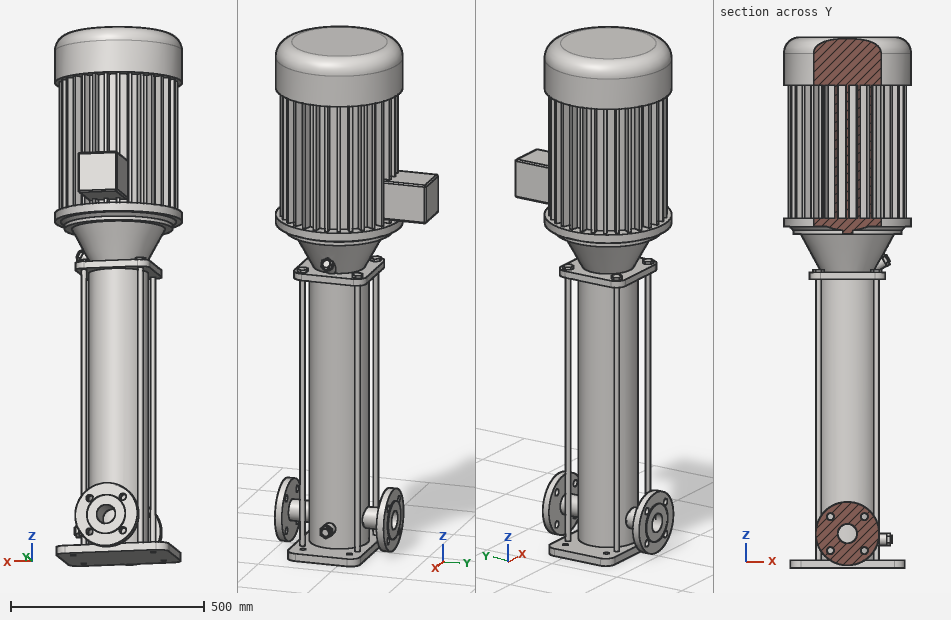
import cadquery as cq
import math

total_height = 1375.0

base_length = 297.0
base_width = 197.0
base_thickness = 20.0
base_hole_diameter = 14.0
base_hole_pitch_x = 212.0
base_hole_pitch_y = 126.0
plate_corner_radius = 28.0

barrel_diameter = 155.0
head_plate_bottom = 748.0
head_plate_thickness = 18.0
head_plate_top = head_plate_bottom + head_plate_thickness
rod_diameter = 14.0
rod_pitch = 150.0
nut_width_across_corners = 29.0
nut_height = 7.0

port_height = 90.0
port_reach = 151.0
port_neck_diameter = 56.0
port_bore_diameter = 50.0
port_flange_diameter = 165.0
port_flange_thickness = 19.0
raised_face_diameter = 102.0
raised_face_height = 3.0
flange_hole_diameter = 18.0
flange_hole_pitch = 88.0

plug_diameter = 32.0
plug_head_width = 29.0
plug_head_length = 10.0
plug_nub_diameter = 20.0
plug_nub_length = 4.0
plug_length = 55.0
drain_plug_tip_x = 115.0
drain_plug_height = 74.0
vent_plug_tip_x = 106.0
vent_plug_tip_height = 803.0
vent_plug_tilt = 30.0

lantern_bottom_radius = 67.0
lantern_top_radius = 121.0
lantern_top = 865.0
spigot_diameter = 280.0
spigot_rim_height = 10.0
spigot_shoulder_radius = 150.0
motor_flange_bottom = 884.0
motor_flange_thickness = 22.0
motor_flange_top = motor_flange_bottom + motor_flange_thickness

motor_diameter = 330.0
motor_core_diameter = 264.0
fin_tip_diameter = 307.0
fin_count = 30
fin_thickness = 8.0
fan_cover_bottom = 1250.0
fan_cover_rounding = 41.0

box_width = 105.0
box_bottom = 920.0
box_top = 1025.0
box_outer_y = 255.0
box_edge_chamfer = 4.0


def cylinder(diameter, bottom, top):
    """Vertical cylinder on the pump axis."""
    return cq.Workplane("XY").workplane(offset=bottom).circle(diameter / 2).extrude(top - bottom)


def rounded_plate(length, width, bottom, thickness):
    """Horizontal plate with rounded corners."""
    plate = cq.Workplane("XY").workplane(offset=bottom).rect(length, width).extrude(thickness)
    return plate.edges("|Z").fillet(plate_corner_radius)


def make_base():
    base = rounded_plate(base_length, base_width, 0, base_thickness)
    holes = (
        cq.Workplane("XY")
        .rect(base_hole_pitch_x, base_hole_pitch_y, forConstruction=True)
        .vertices()
        .circle(base_hole_diameter / 2)
        .extrude(base_thickness)
    )
    return base.cut(holes)


def make_head_plate():
    return rounded_plate(base_width, base_width, head_plate_bottom, head_plate_thickness)


def make_tie_rods():
    """Four rods from the base to the head plate, each with a hexagon nut on top."""
    rods = (
        cq.Workplane("XY")
        .workplane(offset=base_thickness / 2)
        .rect(rod_pitch, rod_pitch, forConstruction=True)
        .vertices()
        .circle(rod_diameter / 2)
        .extrude(head_plate_top - base_thickness / 2)
    )
    nuts = (
        cq.Workplane("XY")
        .workplane(offset=head_plate_top)
        .rect(rod_pitch, rod_pitch, forConstruction=True)
        .vertices()
        .polygon(6, nut_width_across_corners)
        .extrude(nut_height)
    )
    return rods.union(nuts)


def make_port():
    """Flanged port pointing toward -Y, starting from the pump axis."""
    def disc(diameter, start, end):
        face = cq.Workplane("XZ", origin=(0, -start, port_height))
        return face.circle(diameter / 2).extrude(end - start)

    flange_front = port_reach - raised_face_height
    flange_back = flange_front - port_flange_thickness
    bolt_holes = (
        cq.Workplane("XZ", origin=(0, -flange_back, port_height))
        .rect(flange_hole_pitch, flange_hole_pitch, forConstruction=True)
        .vertices()
        .circle(flange_hole_diameter / 2)
        .extrude(port_flange_thickness)
    )
    port = disc(port_neck_diameter, 0, flange_back)
    port = port.union(disc(port_flange_diameter, flange_back, flange_front))
    port = port.union(disc(raised_face_diameter, flange_front, port_reach))
    return port.cut(bolt_holes).cut(disc(port_bore_diameter, 0, port_reach))


def make_plug(tip_x, tip_height, tilt):
    """Hexagon-headed screw plug in the XZ plane; tilt is its rise in degrees from +X."""
    angle = math.radians(tilt)
    axis = cq.Vector(math.cos(angle), 0, math.sin(angle))
    start = cq.Vector(tip_x, 0, tip_height) - axis * plug_length
    plane = cq.Plane(origin=start.toTuple(), xDir=(0, 1, 0), normal=axis.toTuple())
    head_end = plug_length - plug_nub_length
    head_start = head_end - plug_head_length
    shank = cq.Workplane(plane).circle(plug_diameter / 2).extrude(head_start)
    head = cq.Workplane(plane).workplane(offset=head_start)
    head = head.polygon(6, plug_head_width, circumscribed=True).extrude(plug_head_length)
    nub = cq.Workplane(plane).circle(plug_nub_diameter / 2).extrude(plug_length)
    return shank.union(head).union(nub)


def make_lantern():
    """Cone, spigot and motor flange turned as one body."""
    spigot_radius = spigot_diameter / 2
    profile = [
        (0, head_plate_top),
        (lantern_bottom_radius, head_plate_top),
        (lantern_top_radius, lantern_top),
        (spigot_radius, lantern_top),
        (spigot_radius, lantern_top + spigot_rim_height),
        (spigot_shoulder_radius, motor_flange_bottom),
        (motor_diameter / 2, motor_flange_bottom),
        (motor_diameter / 2, motor_flange_top),
        (0, motor_flange_top),
    ]
    return cq.Workplane("XZ").polyline(profile).close().revolve(360, (0, 0), (0, 1))


def make_motor():
    """Finned motor body under a fan cover with a rounded top rim."""
    motor = cylinder(motor_core_diameter, motor_flange_top, fan_cover_bottom)
    fin_ring = cylinder(fin_tip_diameter, motor_flange_top, fan_cover_bottom)
    fin_blank = (
        cq.Workplane("XY")
        .workplane(offset=motor_flange_top)
        .center(0, motor_diameter / 4)
        .rect(fin_thickness, motor_diameter / 2)
        .extrude(fan_cover_bottom - motor_flange_top)
    )
    fin = fin_blank.intersect(fin_ring)
    for index in range(fin_count):
        motor = motor.union(fin.rotate((0, 0, 0), (0, 0, 1), index * 360 / fin_count))
    fan_cover = cylinder(motor_diameter, fan_cover_bottom, total_height)
    return motor.union(fan_cover.faces(">Z").edges().fillet(fan_cover_rounding))


def make_terminal_box():
    """Box on the +Y side of the motor, with its outer edges chamfered."""
    box = (
        cq.Workplane("XY")
        .workplane(offset=box_bottom)
        .center(0, box_outer_y / 2)
        .rect(box_width, box_outer_y)
        .extrude(box_top - box_bottom)
    )
    box = box.edges("|Y or >Y").chamfer(box_edge_chamfer)
    return box.cut(cylinder(motor_core_diameter, box_bottom, box_top))


barrel = cylinder(barrel_diameter, 0, head_plate_top)
inlet = make_port()
outlet = inlet.mirror("XZ")

result = make_base()
for port in (inlet, outlet):
    result = result.union(port)
result = result.union(barrel)
result = result.union(make_head_plate())
result = result.union(make_tie_rods())
result = result.union(make_plug(drain_plug_tip_x, drain_plug_height, 0))
result = result.union(make_lantern())
result = result.union(make_plug(vent_plug_tip_x, vent_plug_tip_height, vent_plug_tilt))
result = result.union(make_motor())
result = result.union(make_terminal_box())